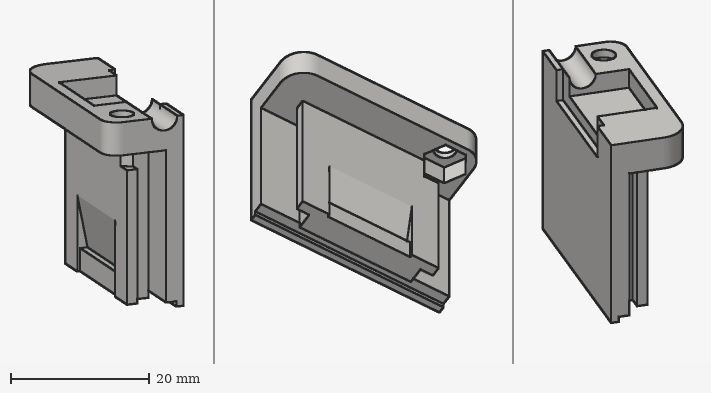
import cadquery as cq
import math

WIDTH = 32.0
DEPTH = 12.0
HEIGHT = 29.0
MID_X = WIDTH / 2

HEAD_HEIGHT = 5.0
HEAD_BOTTOM = HEIGHT - HEAD_HEIGHT
LEFT_CORNER_RADIUS = 4.0
RIGHT_CORNER_RADIUS = 2.5

PLATE_THICKNESS = 2.75
PLATE_FRONT = DEPTH - PLATE_THICKNESS
PLATE_BOTTOM = 0.25
FLANGE_WIDTH = 23.1
FLANGE_THICKNESS = 1.6
FLANGE_FRONT = 5.0
FLANGE_BACK = FLANGE_FRONT + FLANGE_THICKNESS
NECK_WIDTH = 18.9

TONGUE_THICKNESS = 1.15
REBATE_TOP = 1.05

WINDOW_WIDTH = 14.0
STEP_DEPTH = 0.45
STEP_TOP = 3.5
WINDOW_TOP = 11.5
WINDOW_DEPTH = FLANGE_THICKNESS

POCKET_LEFT = 9.45
POCKET_RIGHT = 22.55
POCKET_FRONT = 1.95
POCKET_DEPTH = 3.0
SLOT_WIDTH = 19.0
SLOT_THICKNESS = 1.0
SLOT_DEPTH = HEAD_HEIGHT

GROOVE_RADIUS = 2.0
GROOVE_CENTER_Y = 9.0

HOLE_DIAMETER = 3.5
HOLE_X = 28.0
HOLE_Y = 4.0
NUT_ACROSS_FLATS = 6.0
NUT_CEILING = HEIGHT - 1.25
NUT_CLEARANCE_BOTTOM = 20.25


def block(x_range, y_range, z_range):
    """Box spanning the given (low, high) ranges."""
    (x0, x1), (y0, y1), (z0, z1) = x_range, y_range, z_range
    return cq.Workplane("XY").box(x1 - x0, y1 - y0, z1 - z0, centered=False).translate((x0, y0, z0))


def centered_range(width):
    """X range of the given width about the middle of the part."""
    return MID_X - width / 2, MID_X + width / 2


def make_head():
    head = block((0, WIDTH), (0, DEPTH), (HEAD_BOTTOM, HEIGHT))
    head = head.edges("|Z and <X and <Y").fillet(LEFT_CORNER_RADIUS)
    return head.edges("|Z and >X and <Y").fillet(RIGHT_CORNER_RADIUS)


def make_plate():
    plate = block((0, WIDTH), (PLATE_FRONT, DEPTH), (PLATE_BOTTOM, HEAD_BOTTOM))
    rebate = block((0, WIDTH), (PLATE_FRONT, DEPTH - TONGUE_THICKNESS), (0, REBATE_TOP))
    return plate.cut(rebate)


def make_neck_and_flange():
    neck = block(centered_range(NECK_WIDTH), (FLANGE_BACK, PLATE_FRONT), (0, HEAD_BOTTOM))
    flange = block(centered_range(FLANGE_WIDTH), (FLANGE_FRONT, FLANGE_BACK), (0, HEAD_BOTTOM))
    return neck.union(flange)


def make_window():
    """Cutter with a flat lower step and a face sloping back down from the window top."""
    return (
        cq.Workplane("YZ", origin=(MID_X, 0, 0))
        .moveTo(FLANGE_FRONT, 0)
        .lineTo(FLANGE_FRONT + STEP_DEPTH, 0)
        .lineTo(FLANGE_FRONT + STEP_DEPTH, STEP_TOP)
        .lineTo(FLANGE_FRONT + WINDOW_DEPTH, STEP_TOP)
        .lineTo(FLANGE_FRONT, WINDOW_TOP)
        .close()
        .extrude(WINDOW_WIDTH / 2, both=True)
    )


def make_pocket_and_slot():
    slot_front = DEPTH - SLOT_THICKNESS
    pocket = block((POCKET_LEFT, POCKET_RIGHT), (POCKET_FRONT, slot_front), (HEIGHT - POCKET_DEPTH, HEIGHT))
    slot = block(centered_range(SLOT_WIDTH), (slot_front, DEPTH), (HEIGHT - SLOT_DEPTH, HEIGHT))
    return pocket.union(slot)


def make_groove():
    """Cylinder centred on the top face, leaving a half-round groove."""
    return (
        cq.Workplane("YZ", origin=(POCKET_RIGHT, GROOVE_CENTER_Y, HEIGHT))
        .circle(GROOVE_RADIUS)
        .extrude(WIDTH - POCKET_RIGHT)
    )


def make_screw_hole():
    """Round hole through the head above a hexagonal nut pocket that also clears the flange corner."""
    hole = (
        cq.Workplane("XY", origin=(HOLE_X, HOLE_Y, NUT_CEILING))
        .circle(HOLE_DIAMETER / 2)
        .extrude(HEIGHT - NUT_CEILING)
    )
    across_corners = NUT_ACROSS_FLATS / math.cos(math.pi / 6)
    nut = (
        cq.Workplane("XY", origin=(HOLE_X, HOLE_Y, NUT_CLEARANCE_BOTTOM))
        .polygon(6, across_corners)
        .extrude(NUT_CEILING - NUT_CLEARANCE_BOTTOM)
    )
    return hole.union(nut)


result = make_head().union(make_plate()).union(make_neck_and_flange())
for cutter in (make_window(), make_pocket_and_slot(), make_groove(), make_screw_hole()):
    result = result.cut(cutter)